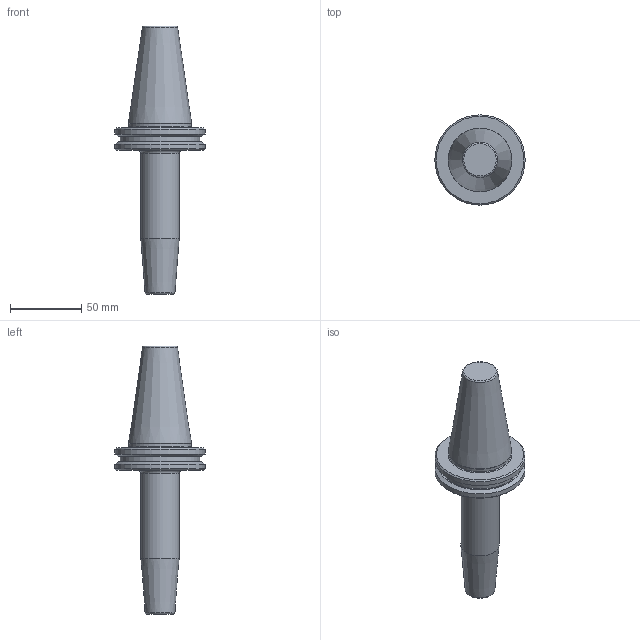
import cadquery as cq
import math


gauge_radius = 44.45 / 2
taper_length = 68.4
taper_ratio = 7 / 24
taper_tip_radius = gauge_radius - taper_ratio * taper_length / 2
tip_fillet = 1.0

neck_step = 0.4
neck_radius = gauge_radius - neck_step
neck_fillet = 0.6

flange_radius = 63.5 / 2
flange_top_z = -3.2
flange_thickness = 15.9
flange_bottom_z = flange_top_z - flange_thickness
flange_top_chamfer = 1.0
flange_bottom_chamfer = 1.1
groove_center_z = -11.1
groove_floor_radius = 56 / 2
groove_floor_width = 3.9
groove_mouth_width = 7.1
groove_side_angle = math.radians(30)

rim_margin = 0.1

shank_radius = 27 / 2
shank_fillet = 1.8
nose_end_z = -120
nose_length = 39
nose_half_angle = math.radians(4.5)
nose_end_radius = shank_radius - nose_length * math.tan(nose_half_angle)
nose_fillet = 1.0


def make_body():
    """Revolve the outer profile, with the groove and all edges still plain."""
    profile = (
        cq.Workplane("XZ")
        .moveTo(0, taper_length)
        .lineTo(taper_tip_radius, taper_length)
        .lineTo(gauge_radius, 0)
        .lineTo(neck_radius, -neck_step)
        .lineTo(neck_radius, flange_top_z + neck_fillet)
        .radiusArc((neck_radius + neck_fillet, flange_top_z), -neck_fillet)
        .lineTo(flange_radius, flange_top_z)
        .lineTo(flange_radius, flange_bottom_z)
        .lineTo(shank_radius + shank_fillet, flange_bottom_z)
        .radiusArc((shank_radius, flange_bottom_z - shank_fillet), -shank_fillet)
        .lineTo(shank_radius, nose_end_z + nose_length)
        .lineTo(nose_end_radius, nose_end_z)
        .lineTo(0, nose_end_z)
        .close()
    )
    return profile.revolve(360, (0, 0, 0), (0, 1, 0))


def rim_edge(body, radius, z):
    """Select the circular edge of the given radius lying at height z."""
    rim_box = cq.selectors.BoxSelector(
        (-radius - rim_margin, -radius - rim_margin, z - rim_margin),
        (radius + rim_margin, radius + rim_margin, z + rim_margin),
        boundingbox=True,
    )
    outermost = cq.selectors.RadiusNthSelector(-1)
    return body.edges("%CIRCLE").edges(rim_box).edges(outermost)


def cut_groove(body):
    """Cut the V groove around the flange, with a square-sided channel at its bottom."""
    floor_half_width = groove_floor_width / 2
    mouth_half_width = groove_mouth_width / 2
    side_depth = (mouth_half_width - floor_half_width) / math.tan(groove_side_angle)
    shoulder_radius = flange_radius - side_depth
    groove = (
        cq.Workplane("XZ")
        .moveTo(groove_floor_radius, groove_center_z + floor_half_width)
        .lineTo(shoulder_radius, groove_center_z + floor_half_width)
        .lineTo(flange_radius, groove_center_z + mouth_half_width)
        .lineTo(flange_radius, groove_center_z - mouth_half_width)
        .lineTo(shoulder_radius, groove_center_z - floor_half_width)
        .lineTo(groove_floor_radius, groove_center_z - floor_half_width)
        .close()
        .revolve(360, (0, 0, 0), (0, 1, 0))
    )
    return body.cut(groove)


body = make_body()
body = rim_edge(body, taper_tip_radius, taper_length).fillet(tip_fillet)
body = rim_edge(body, flange_radius, flange_top_z).chamfer(flange_top_chamfer)
body = rim_edge(body, flange_radius, flange_bottom_z).chamfer(flange_bottom_chamfer)
body = rim_edge(body, nose_end_radius, nose_end_z).fillet(nose_fillet)
result = cut_groove(body)